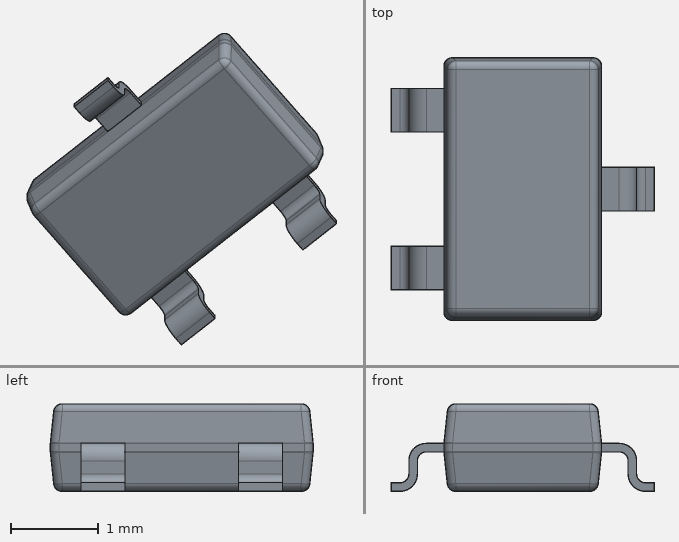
import cadquery as cq
import math


HOUSING_LENGTH = 3.0
HOUSING_WIDTH = 1.8
HOUSING_HEIGHT = HOUSING_LENGTH / 3
DRAFT_ANGLE = 6.0

LEAD_SPAN = 3.0
LEAD_THICKNESS = HOUSING_HEIGHT / 10
LEAD_WIDTH = HOUSING_HEIGHT / 2
LEAD_OFFSET = 0.9
TOE_LENGTH = LEAD_THICKNESS
INNER_BEND = LEAD_THICKNESS
OUTER_BEND = INNER_BEND + LEAD_THICKNESS

BAND_HEIGHT = LEAD_THICKNESS
EDGE_RADIUS = LEAD_THICKNESS
MIDDLE_Z = HOUSING_HEIGHT / 2


def make_housing():
    """Block with a straight middle band, drafted halves and all edges rounded."""
    half_height = (HOUSING_HEIGHT - BAND_HEIGHT) / 2
    band_top = MIDDLE_Z + BAND_HEIGHT / 2
    band_bottom = MIDDLE_Z - BAND_HEIGHT / 2

    band = (
        cq.Workplane("XY", origin=(0, 0, band_bottom))
        .rect(HOUSING_WIDTH, HOUSING_LENGTH)
        .extrude(BAND_HEIGHT)
    )
    upper_half = (
        cq.Workplane("XY", origin=(0, 0, band_top))
        .rect(HOUSING_WIDTH, HOUSING_LENGTH)
        .extrude(half_height, taper=DRAFT_ANGLE)
    )
    lower_half = upper_half.mirror("XY", (0, 0, MIDDLE_Z))
    return band.union(upper_half).union(lower_half).edges().fillet(EDGE_RADIUS)


def make_left_lead(center_y):
    """Gull-wing lead that runs from the toe at -X to the side of the housing."""
    toe_x = -LEAD_SPAN / 2
    heel_x = toe_x + TOE_LENGTH
    shank_left = heel_x + INNER_BEND
    shank_right = heel_x + OUTER_BEND
    shoulder_x = shank_left + OUTER_BEND
    housing_x = -HOUSING_WIDTH / 2

    arm_top = MIDDLE_Z + LEAD_THICKNESS / 2
    arm_bottom = arm_top - LEAD_THICKNESS
    lower_bend_z = OUTER_BEND
    upper_bend_z = arm_top - OUTER_BEND

    diagonal = math.sqrt(0.5)
    inner_reach = INNER_BEND * diagonal
    outer_reach = OUTER_BEND * diagonal

    return (
        cq.Workplane("XZ", origin=(0, center_y, 0))
        .moveTo(toe_x, 0)
        .lineTo(heel_x, 0)
        .threePointArc((heel_x + outer_reach, lower_bend_z - outer_reach), (shank_right, lower_bend_z))
        .lineTo(shank_right, upper_bend_z)
        .threePointArc((shoulder_x - inner_reach, upper_bend_z + inner_reach), (shoulder_x, arm_bottom))
        .lineTo(housing_x, arm_bottom)
        .lineTo(housing_x, arm_top)
        .lineTo(shoulder_x, arm_top)
        .threePointArc((shoulder_x - outer_reach, upper_bend_z + outer_reach), (shank_left, upper_bend_z))
        .lineTo(shank_left, lower_bend_z)
        .threePointArc((heel_x + inner_reach, lower_bend_z - inner_reach), (heel_x, LEAD_THICKNESS))
        .lineTo(toe_x, LEAD_THICKNESS)
        .close()
        .extrude(LEAD_WIDTH / 2, both=True)
    )


housing = make_housing()

LEAD_PLACES = [(-LEAD_OFFSET, 0), (LEAD_OFFSET, 0), (0, 180)]
leads = []
for lead_y, turn in LEAD_PLACES:
    lead = make_left_lead(lead_y).rotate((0, 0, 0), (0, 0, 1), turn)
    leads.append(lead.val())

result = cq.Compound.makeCompound([housing.val(), *leads])